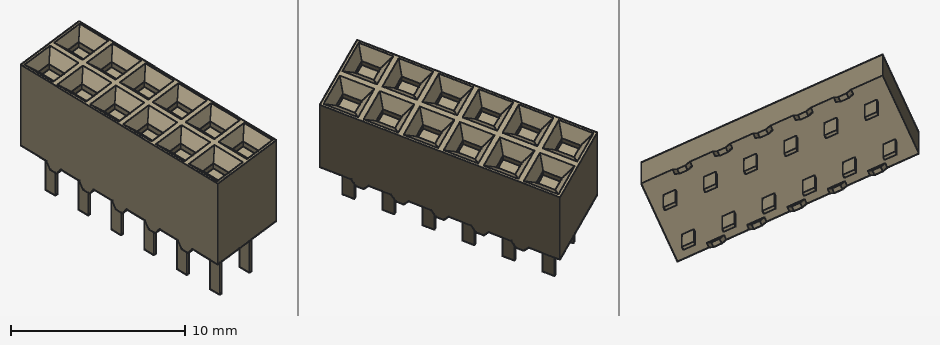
import cadquery as cq

columns = 6
rows = 2
body_length = 15.24
pitch = body_length / columns

body_width = 5.03
body_height = 6.25

socket_mouth = 2.2
well_length = 1.19
well_width = 0.9
funnel_depth = 0.69
well_depth = 0.4

pin_width = 0.76
pin_thickness = 0.2
pin_length = 3.65

foot_root_length = 1.1
foot_tip_length = 0.52
foot_height = 0.5
foot_thickness = 0.3


def centred_positions(count):
    """Coordinates of evenly pitched items, symmetric about zero."""
    return [(i - (count - 1) / 2) * pitch for i in range(count)]


contact_points = [(x, y) for x in centred_positions(columns) for y in centred_positions(rows)]


def make_housing():
    return cq.Workplane("XY").box(body_length, body_width, body_height, centered=(True, True, False))


def make_socket(x, y):
    """Solid to cut from the top of the housing at one contact."""
    funnel = (
        cq.Workplane("XY", origin=(x, y, body_height))
        .rect(socket_mouth, socket_mouth)
        .workplane(offset=-funnel_depth)
        .rect(well_length, well_width)
        .loft(ruled=True)
    )
    well = (
        cq.Workplane("XY", origin=(x, y, body_height - funnel_depth))
        .rect(well_length, well_width)
        .extrude(-well_depth)
    )
    return funnel.union(well)


def make_pins():
    return cq.Workplane("XY").pushPoints(contact_points).rect(pin_width, pin_thickness).extrude(-pin_length)


def make_foot(x, outer_y, inward):
    """Trapezoidal foot, flush with a long side and extending inward along Y."""
    outline = [
        (-foot_root_length / 2, 0),
        (foot_root_length / 2, 0),
        (foot_tip_length / 2, -foot_height),
        (-foot_tip_length / 2, -foot_height),
    ]
    return (
        cq.Workplane("XZ", origin=(x, outer_y, 0))
        .polyline(outline)
        .close()
        .extrude(-inward * foot_thickness)
    )


result = make_housing().union(make_pins())

for x, y in contact_points:
    result = result.cut(make_socket(x, y))

for x in centred_positions(columns - 1):
    for side in (-1, 1):
        result = result.union(make_foot(x, side * body_width / 2, -side))